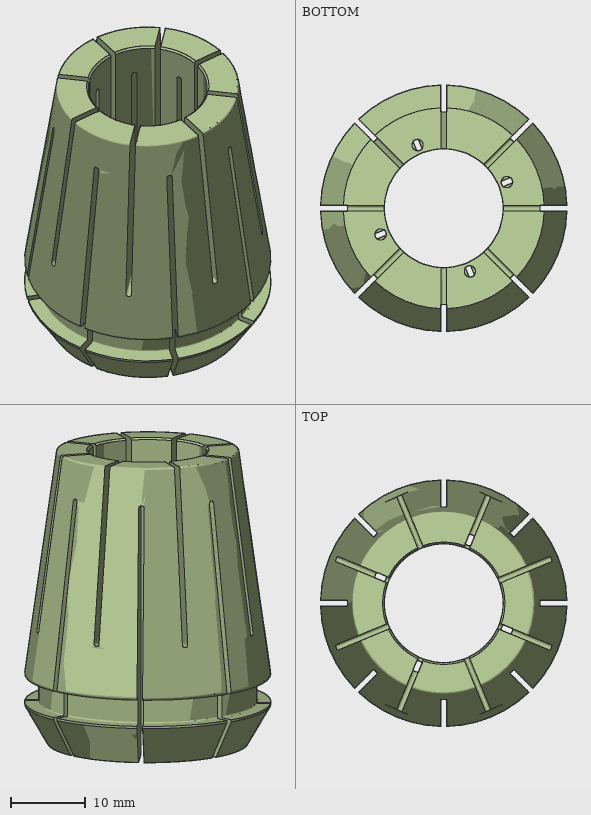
import cadquery as cq
import math

length = 40.0
max_radius = 16.5
bore_radius = 15.88 / 2

taper_degrees = 8.0
taper_angle = math.radians(taper_degrees)
top_radius = 12.2
top_edge_fillet = 0.3
bore_chamfer = 0.25

groove_bottom = 5.6
groove_top = 9.1
groove_radius = 14.6
groove_floor_fillet = 0.2
upper_lip_fillet = 0.4

nose_angle = math.radians(30.0)
land_bottom = 5.3
nose_radius = max_radius - land_bottom * math.tan(nose_angle)

slot_count = 8
slot_width = 0.75
slot_reach = 2 * max_radius
slot_overrun = 2 * slot_width
slot_pitch = 360.0 / slot_count
upper_slot_bottom = 16.0
lower_slot_top = 35.0
lower_slot_tilt = taper_degrees

hole_count = 4
hole_diameter = 1.5
hole_circle_radius = 9.15
first_hole_angle = 1.5 * slot_pitch


def turned_body():
    """Revolved collet body with its groove, bore and edge breaks."""
    taper_foot_radius = top_radius + (length - groove_top) * math.tan(taper_angle)
    outline = [
        (bore_radius, 0),
        (nose_radius, 0),
        (max_radius, land_bottom),
        (max_radius, groove_bottom),
        (groove_radius, groove_bottom),
        (groove_radius, groove_top),
        (taper_foot_radius, groove_top),
        (top_radius, length),
        (bore_radius + bore_chamfer, length),
        (bore_radius, length - bore_chamfer),
    ]
    body = cq.Workplane("XZ").polyline(outline).close().revolve(360, (0, 0, 0), (0, 1, 0))
    innermost = cq.selectors.RadiusNthSelector(0)
    outermost = cq.selectors.RadiusNthSelector(-1)
    lower_lip_top = body.faces("+Z").faces("<Z")
    body = lower_lip_top.edges("%CIRCLE").edges(innermost).fillet(groove_floor_fillet)
    body = body.edges(outermost).fillet(upper_lip_fillet)
    return body.faces(">Z").edges(outermost).fillet(top_edge_fillet)


def radial_slot(bottom, top):
    """Cutter with round ends lying along +X, reaching from the axis past the outside."""
    return (
        cq.Workplane("YZ")
        .center(0, (bottom + top) / 2)
        .slot2D(top - bottom, slot_width, 90)
        .extrude(slot_reach)
    )


def lower_slot(angle):
    """Slot open at the nose, its closed end tilted about the point where it meets the taper."""
    end_radius = top_radius + (length - lower_slot_top) * math.tan(taper_angle)
    return (
        radial_slot(-slot_overrun, lower_slot_top)
        .rotate((end_radius, 0, lower_slot_top), (end_radius, 1, lower_slot_top), lower_slot_tilt)
        .rotate((0, 0, 0), (0, 0, 1), angle)
    )


def upper_slot(angle):
    """Slot open at the top face."""
    return radial_slot(upper_slot_bottom, length + slot_overrun).rotate((0, 0, 0), (0, 0, 1), angle)


def relief_hole(angle):
    """Axial drill from the nose face to the round end of an upper slot."""
    return (
        cq.Workplane("XY")
        .center(hole_circle_radius, 0)
        .circle(hole_diameter / 2)
        .extrude(upper_slot_bottom + slot_width / 2)
        .rotate((0, 0, 0), (0, 0, 1), angle)
    )


result = turned_body()
for i in range(slot_count):
    result = result.cut(lower_slot(i * slot_pitch))
    result = result.cut(upper_slot((i + 0.5) * slot_pitch))
for i in range(hole_count):
    result = result.cut(relief_hole(first_hole_angle + i * 360.0 / hole_count))